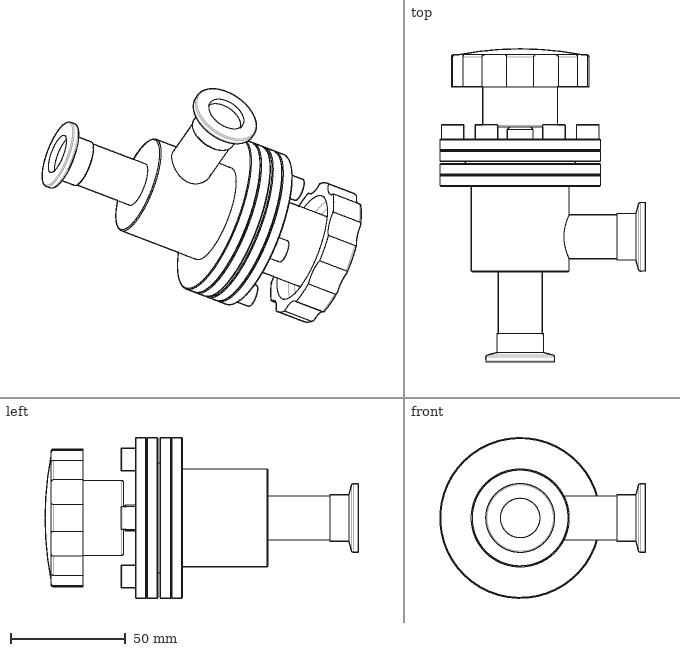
import cadquery as cq
import math


PORT_REACH = 54.6
TUBE_RADIUS = 9.65
COLLAR_RADIUS = 10.2
COLLAR_BACK = 12.5
CLAMP_RADIUS = 15.0
CLAMP_BACK = 4.25
CLAMP_CONE_ANGLE = 15.0
CLAMP_BACK_FILLET = 1.0
CLAMP_FACE_FILLET = 0.5
BORE_RADIUS = 8.6
BORE_DEPTH = 3.0

BODY_RADIUS = 21.35
BODY_BOTTOM = -15.3
BODY_CHAMFER = 0.5

DISC_RADIUS = 35.0
DISC_THICKNESS = 4.95
DISC_CHAMFER = 0.4
STACK_BOTTOM = 22.0
GASKET_RADIUS = 24.0
GASKET_THICKNESS = 0.8
PAIR_THICKNESS = 2 * DISC_THICKNESS
STACK_TOP = STACK_BOTTOM + 2 * PAIR_THICKNESS + GASKET_THICKNESS

SCREW_COUNT = 6
SCREW_CIRCLE_RADIUS = 29.4
SCREW_HEAD_RADIUS = 4.95
SCREW_HEAD_HEIGHT = 6.2
SCREW_HEAD_FILLET = 0.4

SPINDLE_RADIUS = 5.65
SPINDLE_CHAMFER = 0.9

KNOB_TOP = 81.9
KNOB_RADIUS = 30.0
KNOB_UNDERSIDE = 65.3
KNOB_SHOULDER = 79.3
KNOB_EDGE_FILLET = 1.1
DOME_RADIUS = 27.0
NECK_RADIUS = 16.35
NECK_BOTTOM = 47.7
NECK_FILLET = 0.8
FLUTE_COUNT = 8
FLUTE_RADIUS = 9.4
FLUTE_CIRCLE_RADIUS = 36.8
RECESS_RADIUS = 24.0
RECESS_DEPTH = 7.6
RECESS_INNER_FILLET = 2.0
RECESS_OUTER_FILLET = 2.0


def disc(radius, bottom, height):
    """Cylinder on the Y axis, standing on y = bottom."""
    return cq.Workplane("XZ", origin=(0, bottom, 0)).circle(radius).extrude(-height)


def make_port():
    """Solid port from the origin to its face at y = -PORT_REACH, with a shallow bore in the face."""
    face = -PORT_REACH
    cone_rise = (CLAMP_RADIUS - COLLAR_RADIUS) * math.tan(math.radians(CLAMP_CONE_ANGLE))
    clamp_back = face + CLAMP_BACK
    rim_back = clamp_back - cone_rise
    clamp = (
        cq.Workplane("XY")
        .moveTo(0, face)
        .lineTo(CLAMP_RADIUS, face)
        .lineTo(CLAMP_RADIUS, rim_back)
        .lineTo(COLLAR_RADIUS, clamp_back)
        .lineTo(0, clamp_back)
        .close()
        .revolve(360, (0, 0, 0), (0, 1, 0))
        .faces("<Y").edges().fillet(CLAMP_FACE_FILLET)
    )
    widest_circle = cq.selectors.RadiusNthSelector(-1)
    clamp = clamp.faces("%CONE").edges(widest_circle).fillet(CLAMP_BACK_FILLET)
    collar = disc(COLLAR_RADIUS, face + BORE_DEPTH, COLLAR_BACK - BORE_DEPTH)
    tube = disc(TUBE_RADIUS, face + BORE_DEPTH, PORT_REACH - BORE_DEPTH)
    bore = disc(BORE_RADIUS, face, BORE_DEPTH)
    return clamp.union(collar).union(tube).cut(bore)


def make_body():
    body = disc(BODY_RADIUS, BODY_BOTTOM, STACK_BOTTOM - BODY_BOTTOM)
    return body.faces("<Y").edges().chamfer(BODY_CHAMFER)


def make_flange_pair(bottom):
    """Two chamfered discs face to face, so that their chamfers form a V-groove."""
    pair = cq.Workplane("XY")
    for index in range(2):
        plate = disc(DISC_RADIUS, bottom + index * DISC_THICKNESS, DISC_THICKNESS)
        pair = pair.union(plate.faces("<Y or >Y").edges().chamfer(DISC_CHAMFER))
    return pair


def make_flange_stack():
    gasket_bottom = STACK_BOTTOM + PAIR_THICKNESS
    gasket = disc(GASKET_RADIUS, gasket_bottom, GASKET_THICKNESS)
    lower_pair = make_flange_pair(STACK_BOTTOM)
    upper_pair = make_flange_pair(gasket_bottom + GASKET_THICKNESS)
    return lower_pair.union(gasket).union(upper_pair)


def make_screw_heads():
    head = disc(SCREW_HEAD_RADIUS, STACK_TOP, SCREW_HEAD_HEIGHT)
    head = head.faces(">Y").edges().fillet(SCREW_HEAD_FILLET)
    head = head.translate((SCREW_CIRCLE_RADIUS, 0, 0))
    heads = cq.Workplane("XY")
    for index in range(SCREW_COUNT):
        angle = index * 360 / SCREW_COUNT
        heads = heads.union(head.rotate((0, 0, 0), (0, 1, 0), angle))
    return heads


def make_spindle():
    spindle = disc(SPINDLE_RADIUS, STACK_TOP, NECK_BOTTOM - STACK_TOP)
    return spindle.faces(">Y").edges().chamfer(SPINDLE_CHAMFER)


def make_knob_blank():
    """Domed round knob before the flutes and the recess are cut."""
    rim = disc(KNOB_RADIUS, KNOB_UNDERSIDE, KNOB_SHOULDER - KNOB_UNDERSIDE)
    rim = rim.faces(">Y").edges().fillet(KNOB_EDGE_FILLET)
    dome_height = KNOB_TOP - KNOB_SHOULDER
    sphere_radius = (DOME_RADIUS**2 + dome_height**2) / (2 * dome_height)
    half_angle = math.asin(DOME_RADIUS / sphere_radius) / 2
    sphere_center = KNOB_TOP - sphere_radius
    arc_middle = (
        sphere_radius * math.sin(half_angle),
        sphere_center + sphere_radius * math.cos(half_angle),
    )
    dome = (
        cq.Workplane("XY")
        .moveTo(0, KNOB_SHOULDER)
        .lineTo(DOME_RADIUS, KNOB_SHOULDER)
        .threePointArc(arc_middle, (0, KNOB_TOP))
        .close()
        .revolve(360, (0, 0, 0), (0, 1, 0))
    )
    return rim.union(dome)


def make_flutes():
    """Cutters for the finger flutes, set midway between lobes that lie on the X and Z axes."""
    pitch = 360 / FLUTE_COUNT
    cutter = disc(FLUTE_RADIUS, KNOB_UNDERSIDE, KNOB_TOP - KNOB_UNDERSIDE)
    cutter = cutter.translate((FLUTE_CIRCLE_RADIUS, 0, 0))
    flutes = cq.Workplane("XY")
    for index in range(FLUTE_COUNT):
        flutes = flutes.union(cutter.rotate((0, 0, 0), (0, 1, 0), (index + 0.5) * pitch))
    return flutes


def make_recess():
    """Ring-shaped pocket around the neck, rounded where its floor meets the walls."""
    ring = disc(RECESS_RADIUS, KNOB_UNDERSIDE, RECESS_DEPTH)
    ring = ring.faces(">Y").edges().fillet(RECESS_OUTER_FILLET)
    ring = ring.cut(disc(NECK_RADIUS, KNOB_UNDERSIDE, RECESS_DEPTH))
    return ring.faces(">Y").edges(cq.selectors.RadiusNthSelector(0)).fillet(RECESS_INNER_FILLET)


def make_knob():
    neck = disc(NECK_RADIUS, NECK_BOTTOM, KNOB_UNDERSIDE - NECK_BOTTOM)
    neck = neck.faces("<Y").edges().fillet(NECK_FILLET)
    knob = make_knob_blank().cut(make_flutes()).cut(make_recess())
    return knob.union(neck)


end_port = make_port()
side_port = make_port().rotate((0, 0, 0), (0, 0, 1), 90)

result = (
    make_body()
    .union(end_port)
    .union(side_port)
    .union(make_flange_stack())
    .union(make_screw_heads())
    .union(make_spindle())
    .union(make_knob())
)